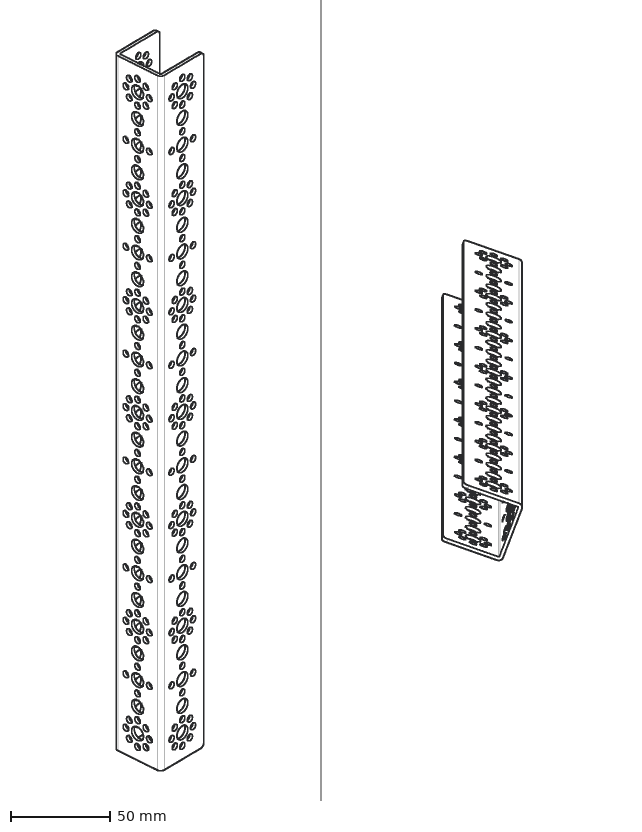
import cadquery as cq
import math

length = 416.0
width = length / 13
wall = 2.0
outer_bend_radius = 2.5
inner_bend_radius = outer_bend_radius - wall
tip_corner_radius = 2.5

cluster_count = 7
large_per_cluster = 4
large_count = large_per_cluster * (cluster_count - 1) + 1
large_pitch = length / (large_count + 1)
large_diameter = large_pitch / 2
ring_radius = large_pitch / 2
small_diameter = 3.7


def channel():
    """U-shaped bent sheet, centred on the origin."""
    outer = cq.Workplane("XY").box(width, width, length).edges("|Z and <Y").fillet(outer_bend_radius)
    inner = (
        cq.Workplane("XY")
        .box(width - 2 * wall, width, length)
        .translate((0, wall, 0))
        .edges("|Z and <Y")
        .fillet(inner_bend_radius)
    )
    return outer.cut(inner).faces(">Y").edges("|X").fillet(tip_corner_radius)


def large_hole_heights(step):
    """Heights of every step-th large hole, starting from the lowest."""
    lowest = -(large_count - 1) / 2 * large_pitch
    return [lowest + i * large_pitch for i in range(0, large_count, step)]


def large_hole_points():
    """Centres of the large holes as (across, height)."""
    return [(0, z) for z in large_hole_heights(1)]


def small_hole_points():
    """Centres of the small holes as (across, height)."""
    heights = large_hole_heights(1)
    points = [(0, heights[0] - ring_radius)]
    points += [(0, z + ring_radius) for z in heights]
    for z in large_hole_heights(2):
        points += [(-ring_radius, z), (ring_radius, z)]
    diagonal = ring_radius / math.sqrt(2)
    for z in large_hole_heights(large_per_cluster):
        points += [(i * diagonal, z + j * diagonal) for i in (-1, 1) for j in (-1, 1)]
    return points


def hole_cutter(plane, points, diameter):
    """Cylinders that pass through the whole channel along the normal of the plane."""
    return cq.Workplane(plane).pushPoints(points).circle(diameter / 2).extrude(width, both=True)


result = channel()
for plane in ("XZ", "YZ"):
    result = result.cut(hole_cutter(plane, large_hole_points(), large_diameter))
    result = result.cut(hole_cutter(plane, small_hole_points(), small_diameter))